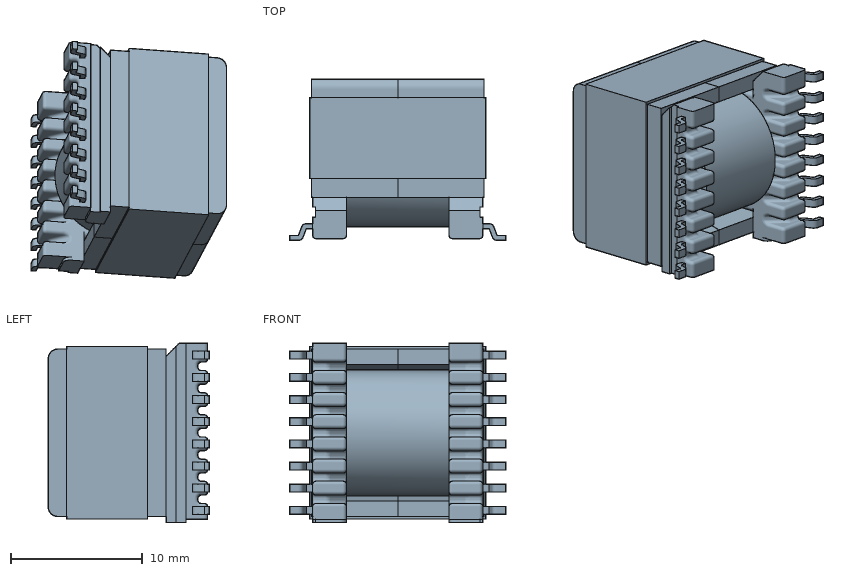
import cadquery as cq
import math


core_half_x = 6.57
core_half_z = 6.37
core_back_y = 6.47
core_front_y = -2.51
core_back_radius = 0.75
post_radius = 2.13
chamber_radius = 4.8
mouth_half_z = 5.17
mouth_flare_depth = 1.4

tape_side_thickness = 0.13
tape_flat_thickness = 0.2
tape_back_y = 5.05
tape_front_y = -1.1

winding_radius = 4.78
winding_half_x = 3.89
tube_radius = 2.63
flange_thickness = 0.65
flange_rim_radius = 0.33
chamber_half_x = winding_half_x + flange_thickness

block_outer_x = 6.47
block_half_z = 13.65 / 2
block_end_y = -5.66
block_chamfer = 1.0
groove_depth = 0.21
groove_back_y = -3.27
groove_front_y = -4.02
bottom_step = 0.25
bottom_step_radius = 0.53
edge_radius = 0.26

pin_count = 8
pin_row_length = 11.79
pin_pitch = pin_row_length / (pin_count - 1)
pin_width = 0.6
pin_thickness = 0.4
pin_tip_x = 8.21
pin_top_y = -4.52
pin_foot_y = -5.8
pin_upper_bend_x = 6.95
pin_lower_bend_x = 7.55

slot_width = 0.62
slot_floor_y = -4.93
slot_inner_y = -3.55
slot_floor_radius = 0.25
slot_bend_radius = 0.48


def x_cylinder(radius, x_start, x_end):
    return cq.Workplane("YZ", origin=(x_start, 0, 0)).circle(radius).extrude(x_end - x_start)


def box_between(x_range, y_range, z_range):
    corners = list(zip(x_range, y_range, z_range))
    size = [high - low for low, high in zip(*corners)]
    return cq.Workplane("XY").box(*size, centered=False).translate(corners[0])


def mirrored_in_x(body):
    return body.mirror("YZ")


def make_core_half():
    """Half core for +X: a box with a round winding chamber, a flared mouth and a centre post."""
    core = box_between((0, core_half_x), (core_front_y, core_back_y), (-core_half_z, core_half_z))
    core = core.edges("|X and >Y").fillet(core_back_radius)
    flare_y = core_front_y + mouth_flare_depth
    mouth = (
        cq.Workplane("YZ")
        .polyline([
            (0, -chamber_radius),
            (flare_y, -chamber_radius),
            (core_front_y, -mouth_half_z),
            (core_front_y, mouth_half_z),
            (flare_y, chamber_radius),
            (0, chamber_radius),
        ])
        .close()
        .extrude(chamber_half_x)
    )
    chamber = x_cylinder(chamber_radius, 0, chamber_half_x).union(mouth)
    post = x_cylinder(post_radius, 0, core_half_x)
    return core.cut(chamber).union(post)


def make_tape():
    """Rectangular band around the sides of the core."""
    return (
        cq.Workplane("XZ", origin=(0, tape_back_y, 0))
        .rect(2 * (core_half_x + tape_side_thickness), 2 * (core_half_z + tape_flat_thickness))
        .rect(2 * core_half_x, 2 * core_half_z)
        .extrude(tape_back_y - tape_front_y)
    )


def make_winding():
    """Coil on the bobbin tube, between the two flanges."""
    outside = x_cylinder(winding_radius, -winding_half_x, winding_half_x)
    return outside.cut(x_cylinder(tube_radius, -winding_half_x, winding_half_x))


def make_slot_cutter():
    """Cutter for one wire slot, centred on Z = 0, with a rounded bend and rounded floor corners."""
    bend_x = winding_half_x + slot_inner_y - slot_floor_y
    overrun = 0.82
    cutter = (
        cq.Workplane("XY", origin=(0, 0, -slot_width / 2))
        .polyline([
            (winding_half_x - overrun, slot_inner_y + overrun),
            (bend_x, slot_floor_y),
            (block_outer_x + overrun, slot_floor_y),
            (block_outer_x + overrun, block_end_y - overrun),
            (winding_half_x - overrun, block_end_y - overrun),
        ])
        .close()
        .extrude(slot_width)
    )
    cutter = cutter.faces("<Z or >Z").edges("not(<X or >X or <Y)").fillet(slot_floor_radius)
    bend = cq.selectors.BoxSelector(
        (bend_x - slot_floor_radius, slot_floor_y - slot_floor_radius, -slot_width),
        (bend_x + slot_floor_radius, slot_floor_y + slot_floor_radius, slot_width),
    )
    return cutter.edges(bend).fillet(slot_bend_radius)


def slot_region(deepest_y):
    """Selects the edges whose centres lie in the stretch of wire slots, no deeper than deepest_y."""
    margin = 0.08
    reach_z = pin_row_length / 2
    return cq.selectors.BoxSelector(
        (0, block_end_y - margin, -reach_z), (block_outer_x + margin, deepest_y + margin, reach_z)
    )


def make_block():
    """Terminal block for +X with its chamfer, groove, bottom step and wire slots."""
    block = box_between(
        (winding_half_x, block_outer_x), (block_end_y, core_front_y), (-block_half_z, block_half_z)
    )
    block = block.edges(">Z and >Y").chamfer(block_chamfer)
    step = box_between(
        (winding_half_x, block_outer_x),
        (block_end_y, groove_front_y),
        (-block_half_z, bottom_step - block_half_z),
    )
    groove = box_between(
        (block_outer_x - groove_depth, block_outer_x),
        (groove_front_y, groove_back_y),
        (-block_half_z, block_half_z),
    )
    block = block.cut(step).cut(groove)
    step_corner = cq.selectors.NearestToPointSelector((winding_half_x, groove_front_y, -block_half_z))
    block = block.edges("|Z").edges(step_corner).fillet(bottom_step_radius)
    slot = make_slot_cutter()
    for index in range(pin_count - 1):
        block = block.cut(slot.translate((0, 0, (index + 0.5) * pin_pitch - pin_row_length / 2)))
    end_edges = block.faces("<Y").edges("not(<Z or >Z)")
    inner_edges = block.faces("<X").edges(slot_region(slot_inner_y))
    outer_edges = block.faces(">X").edges(slot_region(slot_floor_y))
    rounded_edges = end_edges.add(inner_edges).add(outer_edges).vals()
    return block.newObject(rounded_edges).fillet(edge_radius)


def make_pin():
    """S-shaped flat pin for +X, its outer bend faces concentric with the sharp inner corners."""
    upper_y = pin_top_y - pin_thickness
    lower_y = pin_foot_y + pin_thickness
    run = pin_lower_bend_x - pin_upper_bend_x
    drop = upper_y - lower_y
    lean = math.atan2(run, drop) - math.asin(pin_thickness / math.hypot(run, drop))

    def bend_offset(angle):
        return (pin_thickness * math.sin(angle), pin_thickness * math.cos(angle))

    bend_turn = math.pi / 2 - lean
    half_x, half_y = bend_offset(bend_turn / 2)
    end_x, end_y = bend_offset(bend_turn)
    return (
        cq.Workplane("XY", origin=(0, 0, -pin_width / 2))
        .moveTo(block_outer_x, pin_top_y)
        .lineTo(pin_upper_bend_x, pin_top_y)
        .threePointArc(
            (pin_upper_bend_x + half_x, upper_y + half_y), (pin_upper_bend_x + end_x, upper_y + end_y)
        )
        .lineTo(pin_lower_bend_x, lower_y)
        .lineTo(pin_tip_x, lower_y)
        .lineTo(pin_tip_x, pin_foot_y)
        .lineTo(pin_lower_bend_x, pin_foot_y)
        .threePointArc(
            (pin_lower_bend_x - half_x, lower_y - half_y), (pin_lower_bend_x - end_x, lower_y - end_y)
        )
        .lineTo(pin_upper_bend_x, upper_y)
        .lineTo(block_outer_x, upper_y)
        .close()
        .extrude(pin_width)
    )


def make_flange():
    """U-shaped flange for +X: half round behind, straight-sided down to the terminal block."""
    flange = (
        cq.Workplane("YZ", origin=(winding_half_x, 0, 0))
        .moveTo(core_front_y, -chamber_radius)
        .lineTo(0, -chamber_radius)
        .threePointArc((chamber_radius, 0), (0, chamber_radius))
        .lineTo(core_front_y, chamber_radius)
        .close()
        .extrude(flange_thickness)
    )
    return flange.faces("<X").edges("not <Y").fillet(flange_rim_radius)


def make_bobbin_end():
    """Flange, terminal block and pin row for +X."""
    bobbin_end = make_flange().union(make_block())
    pin = make_pin()
    for index in range(pin_count):
        bobbin_end = bobbin_end.union(pin.translate((0, 0, index * pin_pitch - pin_row_length / 2)))
    return bobbin_end


def make_bobbin():
    """Tube between two mirrored ends, bored for the centre post."""
    bobbin_end = make_bobbin_end()
    tube = x_cylinder(tube_radius, -winding_half_x, winding_half_x)
    bore = x_cylinder(post_radius, -chamber_half_x, chamber_half_x)
    return tube.union(bobbin_end).union(mirrored_in_x(bobbin_end)).cut(bore)


right_core = make_core_half()
left_core = mirrored_in_x(right_core)
tape = make_tape()
winding = make_winding()
bobbin = make_bobbin()

result = cq.Compound.makeCompound([
    left_core.val(),
    right_core.val(),
    tape.val(),
    winding.val(),
    bobbin.val(),
])